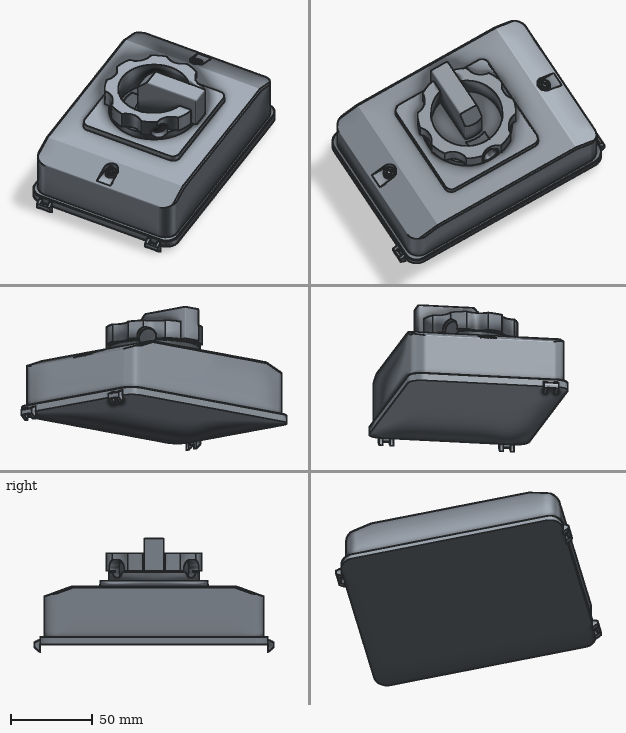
import cadquery as cq
import math

flange_top = 5.0
cover_top = 36.0
plate_top = 39.4
collar_top = 44.4
ring_bottom = 45.3
ring_top = 56.2
handle_top = 65.3

flange_x = 100.0
flange_y = 140.0
flange_edge = 0.5
flange_corner = 8.3

cover_x = 96.0
cover_y = 135.0
cover_corner = 8.2
ridge_y = 50.0
slope_angle = 20.0
slope = math.tan(math.radians(slope_angle))
cover_edge = 1.0
ridge_rounding = 1.5
end_rounding = 0.7

plate_size = 65.9
plate_corner = 4.5
plate_draft = 0.3

collar_radius = 27.9
neck_radius = 25.9
ring_radius = 30.2
ring_inner_radius = 22.0
floor_z = 39.4
scallop_count = 8
scallop_radius = 10.0
scallop_bottom_radius = 26.8

padlock_angles = (180, -55, 55)
padlock_radius = 5.6
padlock_z = 46.6
padlock_end_radius = 23.0

window_width = 13.4
window_inner_x = -11.1
window_outer_radius = 20.0
window_depth = 0.2

handle_width = 12.2
handle_tip_x = -9.2
handle_end_x = 32.8
handle_bevel = 7.4
handle_edge = 1.0
handle_tip_radius = 19.0
handle_tip_fillet = 1.2

pocket_width = 9.5
pocket_outer_y = 65.5
pocket_round_y = 56.3
screw_y = 55.9
screw_radius = 3.5
screw_rim = 0.5
screw_height = 2.6
screw_slot_width = 1.5
screw_slot_depth = 1.2
screw_embed = 1.0

clip_x = 37.7
clip_width = 9.0
clip_leg = 2.2
clip_reach = 3.6
clip_root_top = 3.2
clip_outer_top = 1.5
clip_outer_bottom = -1.7
clip_tip_bottom = -4.6
clip_bar_thickness = 2.0
clip_bar_half_height = 1.5
clip_nose = 0.15


def slope_height(y):
    """Height of the sloping cover end at a distance y from the middle."""
    return cover_top - (y - ridge_y) * slope


def box(x0, x1, y0, y1, z0, z1):
    return cq.Workplane("XY").box(x1 - x0, y1 - y0, z1 - z0, centered=False).translate((x0, y0, z0))


def rounded_block(size_x, size_y, radius, z0, z1):
    block = cq.Workplane("XY").workplane(offset=z0).rect(size_x, size_y).extrude(z1 - z0)
    return block.edges("|Z").fillet(radius)


def disc(radius, z0, z1):
    return cq.Workplane("XY").workplane(offset=z0).circle(radius).extrude(z1 - z0)


def make_flange():
    flange = rounded_block(flange_x, flange_y, flange_corner, 0, flange_top)
    return flange.faces(">Z").chamfer(flange_edge)


def make_cover():
    half_y = cover_y / 2
    end_z = slope_height(half_y)
    profile = [
        (-half_y, flange_top),
        (half_y, flange_top),
        (half_y, end_z),
        (ridge_y, cover_top),
        (-ridge_y, cover_top),
        (-half_y, end_z),
    ]
    cover = cq.Workplane("YZ").polyline(profile).close().extrude(cover_x / 2, both=True)
    cover = cover.edges("|X").edges(">Z").fillet(ridge_rounding)
    cover = cover.faces("<Y or >Y").edges(">Z").fillet(end_rounding)
    side_edges = cover.faces("<X or >X").edges("not |Z").edges("not <Z")
    cover = side_edges.chamfer(cover_edge)
    return cover.intersect(rounded_block(cover_x, cover_y, cover_corner, flange_top, cover_top))


def make_screw_pocket():
    """Level pocket in the +Y slope, round at its inner end."""
    floor = slope_height(pocket_outer_y)
    pocket = disc(pocket_width / 2, floor, cover_top)
    pocket = pocket.translate((0, pocket_round_y, 0))
    half = pocket_width / 2
    return pocket.union(box(-half, half, pocket_round_y, pocket_outer_y, floor, cover_top))


def make_screw():
    floor = slope_height(pocket_outer_y)
    top = floor + screw_height
    screw = disc(screw_radius, floor - screw_embed, top).faces(">Z").chamfer(screw_rim)
    slot_length = 2 * (screw_radius - screw_rim)
    slot = cq.Workplane("XY").box(slot_length, screw_slot_width, 2 * screw_slot_depth)
    cross = slot.union(slot.rotate((0, 0, 0), (0, 0, 1), 90)).translate((0, 0, top))
    return screw.cut(cross).translate((0, screw_y, 0))


def make_plate():
    bottom_size = plate_size + 2 * plate_draft
    plate = cq.Workplane("XY").workplane(offset=cover_top).rect(bottom_size, bottom_size)
    height = plate_top - cover_top
    plate = plate.extrude(height, taper=math.degrees(math.atan(plate_draft / height)))
    return plate.edges("not #Z").fillet(plate_corner)


def make_window():
    half = window_width / 2
    edge_x = -math.sqrt(window_outer_radius ** 2 - half ** 2)
    inner_edge_x = window_inner_x + (window_outer_radius + edge_x)
    outline = (
        cq.Workplane("XY").workplane(offset=floor_z - window_depth)
        .moveTo(edge_x, half)
        .threePointArc((-window_outer_radius, 0), (edge_x, -half))
        .lineTo(inner_edge_x, -half)
        .threePointArc((window_inner_x, 0), (inner_edge_x, half))
        .close()
    )
    return outline.extrude(2 * window_depth)


def make_padlock_hole():
    """Level hole that runs inward from the +X side of the knob."""
    hole = (
        cq.Workplane("YZ").center(0, padlock_z).circle(padlock_radius)
        .extrude(2 * ring_radius)
    )
    return hole.cut(disc(padlock_end_radius, 0, handle_top))


def make_knob():
    knob = disc(collar_radius, plate_top, collar_top)
    knob = knob.union(disc(neck_radius, collar_top, ring_bottom))
    ring = disc(ring_radius, ring_bottom, ring_top)
    scallops = (
        cq.Workplane("XY").workplane(offset=ring_bottom)
        .polarArray(scallop_bottom_radius + scallop_radius, 0, 360, scallop_count)
        .circle(scallop_radius).extrude(ring_top - ring_bottom)
    )
    knob = knob.union(ring.cut(scallops))
    knob = knob.cut(disc(ring_inner_radius, floor_z, ring_top))
    hole = make_padlock_hole()
    for angle in padlock_angles:
        knob = knob.cut(hole.rotate((0, 0, 0), (0, 0, 1), angle))
    return knob


def make_handle():
    half = handle_width / 2
    sagitta = handle_tip_radius - math.sqrt(handle_tip_radius ** 2 - half ** 2)
    shoulder_x = handle_tip_x + sagitta
    handle = (
        cq.Workplane("XY").workplane(offset=floor_z)
        .moveTo(handle_end_x, -half)
        .lineTo(handle_end_x, half)
        .lineTo(shoulder_x, half)
        .threePointArc((handle_tip_x, 0), (shoulder_x, -half))
        .close().extrude(handle_top - floor_z)
    )
    tip_zone = cq.selectors.BoxSelector(
        (handle_tip_x, -handle_width, 0), (0, handle_width, handle_top)
    )
    handle = handle.edges("|Z").edges(tip_zone).fillet(handle_tip_fillet)
    bevel = (
        cq.Workplane("XZ")
        .moveTo(handle_tip_x, handle_top - handle_bevel)
        .lineTo(handle_tip_x, handle_top)
        .lineTo(handle_tip_x + handle_bevel, handle_top)
        .close().extrude(handle_width, both=True)
    )
    handle = handle.cut(bevel)
    end_and_top = handle.faces(">X").edges("|Z or >Z").add(handle.faces(">Z").edges("|X"))
    handle = end_and_top.fillet(handle_edge)
    overhang = box(0, handle_end_x, -half, half, floor_z, ring_bottom)
    return handle.cut(overhang.cut(disc(ring_inner_radius, floor_z, ring_bottom)))


def make_clip():
    """Snap clip on the +Y end of the flange, centred on X = 0."""
    root = flange_y / 2
    tip = root + clip_reach
    side = [
        (root, clip_tip_bottom),
        (root, clip_root_top),
        (tip - clip_nose, clip_outer_top),
        (tip, 0),
        (tip - clip_nose, clip_outer_bottom),
    ]
    half = clip_width / 2
    clip = cq.Workplane("YZ").polyline(side).close().extrude(half, both=True)
    inner = half - clip_leg
    bar_y = tip - clip_bar_thickness
    clip = clip.cut(box(-inner, inner, root, bar_y, clip_tip_bottom, clip_root_top))
    clip = clip.cut(box(-inner, inner, bar_y, tip, clip_tip_bottom, -clip_bar_half_height))
    return clip.cut(box(-inner, inner, bar_y, tip, clip_bar_half_height, clip_root_top))


body = make_flange().union(make_cover())
for angle in (0, 180):
    body = body.cut(make_screw_pocket().rotate((0, 0, 0), (0, 0, 1), angle))
    body = body.union(make_screw().rotate((0, 0, 0), (0, 0, 1), angle))

body = body.union(make_plate()).union(make_knob()).cut(make_window())
body = body.union(make_handle())

rear_clip = make_clip()
front_clip = rear_clip.mirror("XZ")
body = body.union(rear_clip.translate((-clip_x, 0, 0)))
for x in (-clip_x, clip_x):
    body = body.union(front_clip.translate((x, 0, 0)))

result = body